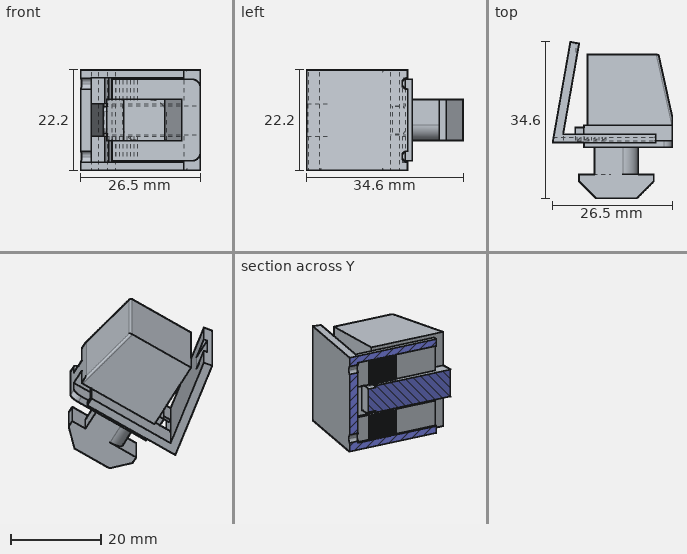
import cadquery as cq
import math


WIDTH = 22.2

BASE_LENGTH = 22.75
BASE_THICKNESS = 1.87
ARM_THICKNESS = 2.0
ARM_ANGLE = 10
ARM_TOP = 22.28

RECESS_START = 2.4
RECESS_DEPTH = 1.2
RECESS_WIDTH = 18.75
SIDE_CLEARANCE = 0.35
TEETH_START = 5.4
TOOTH_PITCH = 0.8
TOOTH_COUNT = 9
WINDOW_WIDTH = 7.13
ARM_RELIEF_START = 5.12
NOTCH_RADIUS = RECESS_DEPTH
NOTCH_OFFSET = 8.05

BLOCK_END = 26.5
FLANGE_START = 6.95
FLANGE_TOP = 0.45
FLANGE_THICKNESS = 1.52
FLANGE_CORNER = 1.95
TAB_START = 4.98
TAB_TOP = 3.35
TAB_WIDTH = 6.1
TAB_ROUND = 1.07

BODY_START = 7.7
BODY_BOTTOM = 3.85
BODY_TOP = 19.48
BODY_TOP_END = 23.45
TAPER_START = 5.67
TAPER_ROUND = 0.55

STEM_CENTER = 14.1
STEM_LENGTH = 5.95
STEM_WIDTH = 9.72
STEM_DEPTH = 9.1
STEM_ROUND = 3.45
HEAD_WIDTH = 16.55
HEAD_HEIGHT = 5.3
HEAD_CHAMFER = 3.75

FLANGE_WIDTH = RECESS_WIDTH - 2 * SIDE_CLEARANCE
NECK_WIDTH = WINDOW_WIDTH - 2 * SIDE_CLEARANCE
FLANGE_BOTTOM = FLANGE_TOP - FLANGE_THICKNESS
STEM_BOTTOM = FLANGE_BOTTOM - STEM_LENGTH


def centered_prism(points, depth):
    """Extrude an XY outline symmetrically about Z = 0."""
    return cq.Workplane("XY").polyline(points).close().extrude(depth / 2, both=True)


def centered_box(x_range, y_range, depth):
    """Box between two X and two Y values, centred on Z = 0."""
    x0, x1 = x_range
    y0, y1 = y_range
    return centered_prism([(x0, y0), (x1, y0), (x1, y1), (x0, y1)], depth)


def bent_plate():
    """Flat base with the arm leaning over it."""
    lean = math.radians(ARM_ANGLE)
    end_run = ARM_THICKNESS * math.cos(lean)
    end_drop = ARM_THICKNESS * math.sin(lean)
    outer_top_x = ARM_TOP * math.tan(lean)
    inner_corner_x = BASE_THICKNESS * math.tan(lean) + ARM_THICKNESS / math.cos(lean)
    return centered_prism(
        [
            (0, 0),
            (BASE_LENGTH, 0),
            (BASE_LENGTH, BASE_THICKNESS),
            (inner_corner_x, BASE_THICKNESS),
            (outer_top_x + end_run, ARM_TOP - end_drop),
            (outer_top_x, ARM_TOP),
        ],
        WIDTH,
    )


def teeth():
    """Row of saw teeth standing on the recess floor, steep side toward -X."""
    outline = [(TEETH_START, RECESS_DEPTH)]
    for i in range(TOOTH_COUNT):
        x = TEETH_START + i * TOOTH_PITCH
        outline.append((x, FLANGE_TOP))
        outline.append((x + TOOTH_PITCH, RECESS_DEPTH))
    return centered_prism(outline, RECESS_WIDTH)


def make_slide():
    """Bent plate with a toothed recess, an open-ended window and two end notches."""
    recess = centered_box((RECESS_START, BASE_LENGTH), (0, RECESS_DEPTH), RECESS_WIDTH)
    window = centered_box((RECESS_START, BASE_LENGTH), (0, BASE_THICKNESS), WINDOW_WIDTH)
    arm_relief = centered_box((ARM_RELIEF_START, BASE_LENGTH), (BASE_THICKNESS, ARM_TOP), WINDOW_WIDTH)
    notches = (
        cq.Workplane("YZ")
        .pushPoints([(0, -NOTCH_OFFSET), (0, NOTCH_OFFSET)])
        .circle(NOTCH_RADIUS)
        .extrude(RECESS_START)
    )
    plate = bent_plate().cut(recess).union(teeth()).cut(window).cut(arm_relief)
    return plate.cut(notches, clean=False)


def tapered_body():
    """Body whose end face slopes inward, with its sides and top edge rounded."""
    slope = (BLOCK_END - BODY_TOP_END) / (BODY_TOP - TAPER_START)
    slope_bottom_x = BLOCK_END + slope * (TAPER_START - BODY_BOTTOM)
    wedge = centered_prism(
        [
            (BODY_START, BODY_BOTTOM),
            (slope_bottom_x, BODY_BOTTOM),
            (BODY_TOP_END, BODY_TOP),
            (BODY_START, BODY_TOP),
        ],
        WIDTH,
    )
    wedge = wedge.faces(">X").edges("not <Y").fillet(TAPER_ROUND)
    return wedge.intersect(centered_box((BODY_START, BLOCK_END), (BODY_BOTTOM, BODY_TOP), WIDTH))


def flange_and_neck():
    """Flange, the neck that joins it to the body, and the tab ahead of the neck."""
    flange = centered_box((FLANGE_START, BLOCK_END), (FLANGE_BOTTOM, FLANGE_TOP), FLANGE_WIDTH)
    flange = flange.edges("|Y and >X").fillet(FLANGE_CORNER)
    neck = centered_box((FLANGE_START, BLOCK_END), (FLANGE_TOP, BODY_BOTTOM), NECK_WIDTH)
    tab = centered_box((TAB_START, FLANGE_START), (FLANGE_TOP, TAB_TOP), TAB_WIDTH)
    tab = tab.edges("|X and <Y").fillet(TAB_ROUND)
    return flange.union(neck).union(tab)


def stem():
    """Stem with two opposite corners rounded so that it can turn in a slot."""
    half_width = STEM_WIDTH / 2
    shaft = centered_box(
        (STEM_CENTER - half_width, STEM_CENTER + half_width), (STEM_BOTTOM, FLANGE_BOTTOM), STEM_DEPTH
    )
    for corner in ("|Y and >X and >Z", "|Y and <X and <Z"):
        shaft = shaft.edges(corner).fillet(STEM_ROUND)
    return shaft


def head():
    """T-head with its two outer corners cut at 45 degrees."""
    half_width = HEAD_WIDTH / 2
    bar = centered_box(
        (STEM_CENTER - half_width, STEM_CENTER + half_width),
        (STEM_BOTTOM - HEAD_HEIGHT, STEM_BOTTOM),
        STEM_DEPTH,
    )
    return bar.faces("<Y").edges("|Z").chamfer(HEAD_CHAMFER)


def make_block():
    """Body, flange, stem and head joined into one solid."""
    return tapered_body().union(flange_and_neck()).union(stem()).union(head())


slide = make_slide()
block = make_block()
result = cq.Compound.makeCompound([slide.solids().val(), block.solids().val()])